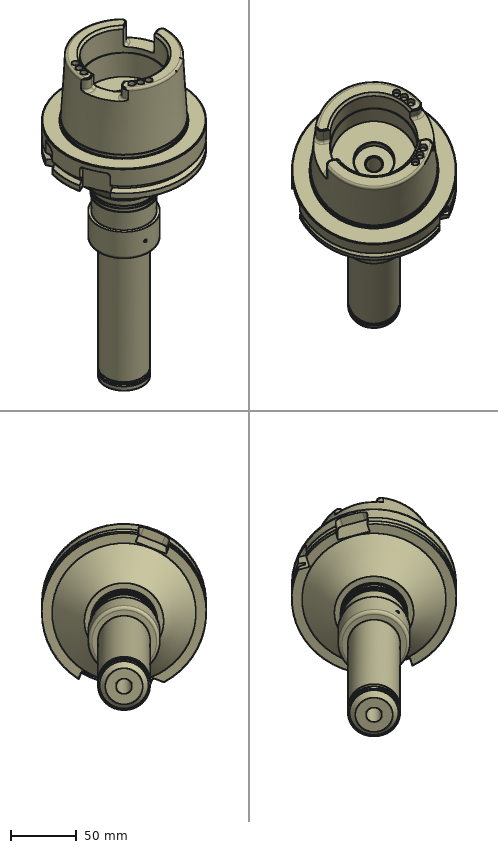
import cadquery as cq
import math

height = 309.0
seat_z = 246.0
flange_bottom_z = 217.5
cone_bottom_z = 192.2
nut_top_z = 160.0
nut_bottom_z = 133.8
end_groove_top_z = 12.7
end_groove_bottom_z = 9.3
end_collar_bottom_z = 4.3

taper_base_r = 48.2
taper_top_r = 45.0
rim_round = 2.2
relief_inner_r = 47.5
relief_outer_r = 49.0
relief_height = 2.5
relief_depth = 0.5

flange_r = 125.0 / 2
flange_chamfer = 0.5
groove_r = 58.5
groove_top_z = 229.5
groove_floor_top_z = 227.5
groove_floor_bottom_z = 224.5
groove_bottom_z = 222.8

cone_top_r = 54.7
cone_bottom_r = 60.3 / 2
neck_r = 49.7 / 2
band_r = 51.0 / 2
nut_r = 54.7 / 2
nut_round = 2.8
shaft_r = 40.0 / 2
end_groove_r = 17.0
end_step_r = 18.5
tip_r = 14.2
end_collar_chamfer = 1.0

neck_bands = [(177.5, 180.8), (183.2, 188.2), (189.7, 191.0)]

bore_r = 67.0 / 2
bore_chamfer = 2.2
bore_depth = 24.0
lower_bore_r = 33.0
cavity_floor_z = 262.3
counterbore_r = 30.5 / 2
counterbore_rim_r = 31.5 / 2
counterbore_depth = 6.2
through_r = 12.0 / 2
through_rim_r = 14.0 / 2

key_slot_width = 25.0
key_slot_top_z = 241.0
key_slot_floor = 55.0
key_slot_round = 3.7
corner_slot_wall = 39.5
corner_slot_round = 4.5

notch_half_width = key_slot_width / 2
notch_flare_r = 4.5
notch_floor_round = 2.5
notch_edge_chamfer = 1.0
front_notch_depth = 11.7
back_notch_depth = 19.0

rim_hole_r = 6.0 / 2
rim_hole_depth = 6.2
rim_hole_point = 2.5
rim_hole_circle_r = 39.0
rim_hole_pitch = 10.0
rim_hole_group_angles = (230.0, 310.0)

nut_hole_r = 1.2
nut_hole_depth = 3.0
nut_hole_z = 147.7
nut_hole_angle = -32.0


def revolve_profile(profile):
    return profile.close().revolve(360, (0, 0, 0), (0, 1, 0))


def make_body():
    """Outside of the holder, turned about Z."""
    relief_bottom = seat_z - relief_depth
    relief_top = seat_z + relief_height
    rim_mid = rim_round * math.sqrt(0.5)
    profile = (
        cq.Workplane("XZ")
        .moveTo(0, 0)
        .lineTo(tip_r, 0)
        .lineTo(end_step_r, end_collar_bottom_z)
        .lineTo(shaft_r, end_collar_bottom_z)
        .lineTo(shaft_r, end_groove_bottom_z - end_collar_chamfer)
        .lineTo(shaft_r - end_collar_chamfer, end_groove_bottom_z)
        .lineTo(end_groove_r, end_groove_bottom_z)
        .lineTo(end_groove_r, end_groove_top_z)
        .lineTo(shaft_r, end_groove_top_z)
        .lineTo(shaft_r, nut_bottom_z)
        .lineTo(nut_r - nut_round, nut_bottom_z)
        .radiusArc((nut_r, nut_bottom_z + nut_round), -nut_round)
        .lineTo(nut_r, nut_top_z)
        .lineTo(neck_r, nut_top_z)
        .lineTo(neck_r, cone_bottom_z)
        .lineTo(cone_bottom_r, cone_bottom_z)
        .lineTo(cone_top_r, flange_bottom_z)
        .lineTo(flange_r, flange_bottom_z)
        .lineTo(flange_r, groove_bottom_z)
        .lineTo(groove_r, groove_floor_bottom_z)
        .lineTo(groove_r, groove_floor_top_z)
        .lineTo(flange_r, groove_top_z)
        .lineTo(flange_r, seat_z - flange_chamfer)
        .lineTo(flange_r - flange_chamfer, seat_z)
        .lineTo(relief_outer_r, seat_z)
        .lineTo(relief_outer_r, relief_bottom)
        .lineTo(relief_inner_r, relief_bottom)
        .lineTo(relief_inner_r, relief_top)
        .lineTo(taper_base_r, relief_top)
        .lineTo(taper_top_r, height - rim_round)
        .threePointArc(
            (taper_top_r - rim_round + rim_mid, height - rim_round + rim_mid),
            (taper_top_r - rim_round, height),
        )
        .lineTo(0, height)
    )
    body = revolve_profile(profile)
    for bottom, top in neck_bands:
        body = body.union(cq.Workplane("XY", (0, 0, bottom)).circle(band_r).extrude(top - bottom))
    return body


def make_bore():
    """Stepped hollow of the shank, running out through the tip."""
    counterbore_z = cavity_floor_z - counterbore_depth
    profile = (
        cq.Workplane("XZ")
        .moveTo(0, 0)
        .lineTo(through_r, 0)
        .lineTo(through_r, counterbore_z - (through_rim_r - through_r))
        .lineTo(through_rim_r, counterbore_z)
        .lineTo(counterbore_r, counterbore_z)
        .lineTo(counterbore_r, cavity_floor_z - (counterbore_rim_r - counterbore_r))
        .lineTo(counterbore_rim_r, cavity_floor_z)
        .lineTo(lower_bore_r, cavity_floor_z)
        .lineTo(lower_bore_r, height - bore_depth)
        .lineTo(bore_r, height - bore_depth)
        .lineTo(bore_r, height - bore_chamfer)
        .lineTo(bore_r + bore_chamfer, height)
        .lineTo(0, height)
    )
    return revolve_profile(profile)


def notch_outline(z):
    """Outline of a -Y rim notch at height z; its walls flare into the outside of the shank."""
    center_x = notch_half_width + notch_flare_r
    center_y = math.sqrt((taper_top_r - notch_flare_r) ** 2 - center_x**2)
    flare_end_x = center_x * taper_top_r / (taper_top_r - notch_flare_r)
    flare_end_y = center_y * taper_top_r / (taper_top_r - notch_flare_r)
    outer_y = flange_r
    outer_x = flare_end_x * outer_y / flare_end_y
    return (
        cq.Workplane("XY", (0, 0, z))
        .moveTo(-notch_half_width, 0)
        .lineTo(notch_half_width, 0)
        .lineTo(notch_half_width, -center_y)
        .radiusArc((flare_end_x, -flare_end_y), -notch_flare_r)
        .lineTo(outer_x, -outer_y)
        .lineTo(-outer_x, -outer_y)
        .lineTo(-flare_end_x, -flare_end_y)
        .radiusArc((-notch_half_width, -center_y), -notch_flare_r)
        .close()
    )


def make_notch(depth):
    """Cutter for a rim notch with a rounded floor and chamfered top edges."""
    notch = notch_outline(height - depth).extrude(depth).faces("<Z").edges().fillet(notch_floor_round)
    chamfer = notch_outline(height - notch_edge_chamfer).extrude(notch_edge_chamfer, taper=-45)
    return notch.union(chamfer)


def make_rim_holes():
    """Holes with a conical drill point, sunk into the rim face."""
    holes = cq.Workplane("XY")
    for group_angle in rim_hole_group_angles:
        for step in (-1, 0, 1):
            angle = math.radians(group_angle + step * rim_hole_pitch)
            x = rim_hole_circle_r * math.cos(angle)
            y = rim_hole_circle_r * math.sin(angle)
            wall_bottom = cq.Vector(x, y, height - rim_hole_depth)
            wall = cq.Solid.makeCylinder(rim_hole_r, rim_hole_depth, wall_bottom)
            point = cq.Solid.makeCone(rim_hole_r, 0, rim_hole_point, wall_bottom, cq.Vector(0, 0, -1))
            holes = holes.union(cq.Workplane(wall)).union(cq.Workplane(point))
    return holes


def make_key_slot():
    """Cutter for the -Y key slot, open at the bottom of the flange."""
    slot_height = key_slot_top_z - flange_bottom_z
    slot_depth = flange_r - key_slot_floor
    return (
        cq.Workplane("XY", (0, -key_slot_floor - slot_depth / 2, flange_bottom_z))
        .box(key_slot_width, slot_depth, slot_height, centered=(True, True, False))
        .edges("|Y and >Z")
        .fillet(key_slot_round)
    )


def make_corner_slot():
    """Cutter for the square recess in the (-X, -Y) quarter of the flange."""
    size = flange_r - corner_slot_wall
    return (
        cq.Workplane("XY", (-flange_r, -flange_r, flange_bottom_z))
        .box(size, size, key_slot_top_z - flange_bottom_z, centered=False)
        .edges("|Y and >X and >Z")
        .fillet(corner_slot_round)
    )


def make_nut_hole():
    """Small blind hole drilled radially into the nut."""
    return (
        cq.Workplane("YZ", (nut_r - nut_hole_depth, 0, nut_hole_z))
        .circle(nut_hole_r)
        .extrude(2 * nut_hole_depth)
        .rotate((0, 0, 0), (0, 0, 1), nut_hole_angle)
    )


def turned_half(cutter):
    return cutter.rotate((0, 0, 0), (0, 0, 1), 180)


result = (
    make_body()
    .cut(make_bore())
    .cut(make_notch(front_notch_depth))
    .cut(turned_half(make_notch(back_notch_depth)))
    .cut(make_rim_holes())
    .cut(make_key_slot())
    .cut(turned_half(make_key_slot()))
    .cut(make_corner_slot())
    .cut(make_nut_hole())
)